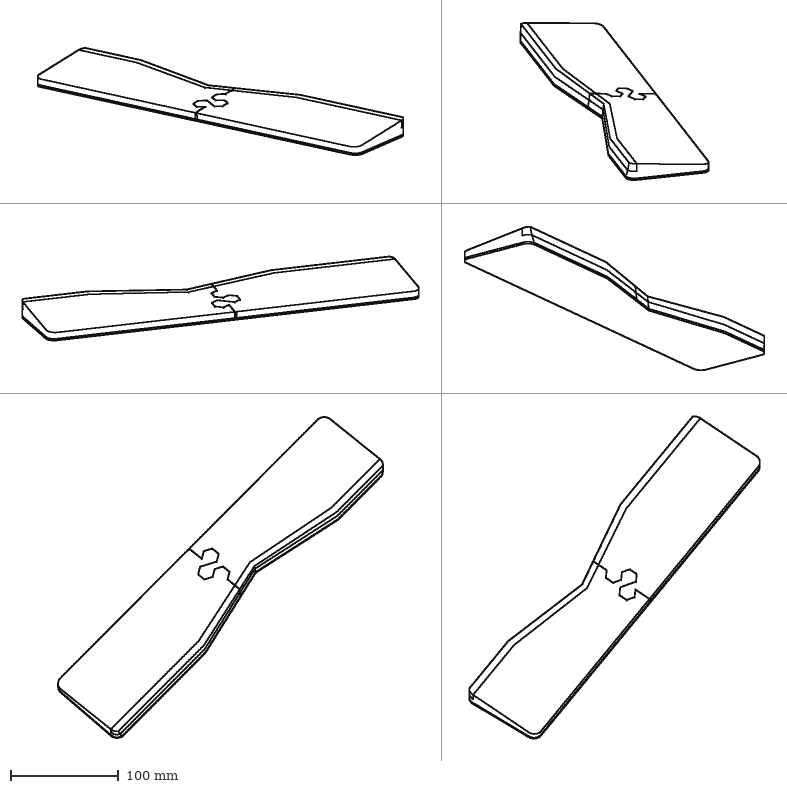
import cadquery as cq
import math

length = 368.5
depth = 80.0
back_height = 17.0
slope_angle = 6.6
corner_radius = 8.0
base_thickness = 2.0

notch_x = -27.0
notch_half_width = 91.0
notch_depth = 20.3

ledge_height = 9.0
trim_width = 8.5
trim_notch_depth = 19.0

joint_x = -0.2
joint_gap = 0.2
hexagon_radius = 8.0
interlock_y = 32.5

slot_width = 2.0
slot_height = 4.0
slot_depth = slot_height

top_slope = math.tan(math.radians(slope_angle))
back_lean = (back_height - base_thickness) * top_slope
front_height = back_height - (depth - back_lean) * top_slope

half_length = length / 2
hexagon_half_width = hexagon_radius * math.cos(math.radians(30))


def notched_edge(back, dip):
    """Back edge from right to left, straight except for the V-shaped notch."""
    return [
        (half_length, back),
        (notch_x + notch_half_width, back),
        (notch_x, back - dip),
        (notch_x - notch_half_width, back),
        (-half_length, back),
    ]


def footprint(bottom, height):
    """Prism with the notched outline and rounded ends."""
    front = [(-half_length, 0), (half_length, 0)]
    plane = cq.Workplane("XY", origin=(0, 0, bottom))
    block = plane.polyline(front + notched_edge(depth, notch_depth)).close().extrude(height)
    return block.edges("|Z and (<X or >X)").fillet(corner_radius)


def leaning_envelope():
    """Space in front of the leaning back face, over the full height of the wedge."""
    front = [(-length, 0), (length, 0)]
    bottom = cq.Workplane("XY", origin=(0, 0, base_thickness))
    lower = bottom.polyline(front + notched_edge(depth, notch_depth)).close()
    raised = lower.workplane(offset=back_height - base_thickness)
    upper = raised.polyline(front + notched_edge(depth - back_lean, notch_depth)).close()
    return upper.loft(ruled=True)


def make_wedge():
    """Everything above the base: leaning back face, rounded ends, sloping top."""
    side_profile = [(0, 0), (depth, 0), (depth, front_height + depth * top_slope), (0, front_height)]
    below_top = cq.Workplane("YZ").polyline(side_profile).close().extrude(half_length, both=True)
    block = footprint(base_thickness, back_height)
    return block.intersect(leaning_envelope()).intersect(below_top)


def make_trim_zone():
    """Space above the ledge and behind the front edge of the trim strip."""
    front_edge = notched_edge(depth - trim_width, trim_notch_depth)
    back_edge = [(-half_length, depth), (half_length, depth)]
    plane = cq.Workplane("XY", origin=(0, 0, ledge_height))
    return plane.polyline(front_edge + back_edge).close().extrude(back_height)


def joint_boundary():
    """Closed outline of the space to the right of the joint, with the interlocking hexagons."""
    w = hexagon_half_width
    r = hexagon_radius
    joint = [
        (0, depth),
        (0, interlock_y + 2 * r),
        (-w, interlock_y + 1.5 * r),
        (-w, interlock_y + 0.5 * r),
        (0, interlock_y),
        (w, interlock_y + 0.5 * r),
        (2 * w, interlock_y),
        (2 * w, interlock_y - r),
        (w, interlock_y - 1.5 * r),
        (-w, interlock_y - 0.5 * r),
        (-2 * w, interlock_y - r),
        (-2 * w, interlock_y - 2 * r),
        (-w, interlock_y - 2.5 * r),
        (0, interlock_y - 2 * r),
        (0, 0),
    ]
    far_end = [(length, 0), (length, depth)]
    return cq.Workplane("XY", origin=(joint_x, 0, 0)).polyline(joint + far_end).close()


def make_slot():
    """Space of the slot, running back from the front face along the top of the base."""
    middle = (joint_x + slot_width / 2, slot_depth / 2, base_thickness)
    return cq.Workplane("XY", origin=middle).rect(slot_width, slot_depth).extrude(slot_height)


wedge = make_wedge()
trim_zone = make_trim_zone()
right_zone = joint_boundary().extrude(back_height)
right_zone_with_gap = joint_boundary().offset2D(joint_gap, "intersection").extrude(back_height)

base = footprint(0, base_thickness)
rest = wedge.cut(trim_zone).cut(make_slot())
trim = wedge.intersect(trim_zone)

left_rest = rest.cut(right_zone_with_gap)
right_rest = rest.intersect(right_zone)
left_trim = trim.cut(right_zone_with_gap)
right_trim = trim.intersect(right_zone)

result = cq.Compound.makeCompound([
    base.val(),
    left_rest.val(),
    right_rest.val(),
    left_trim.val(),
    right_trim.val(),
])